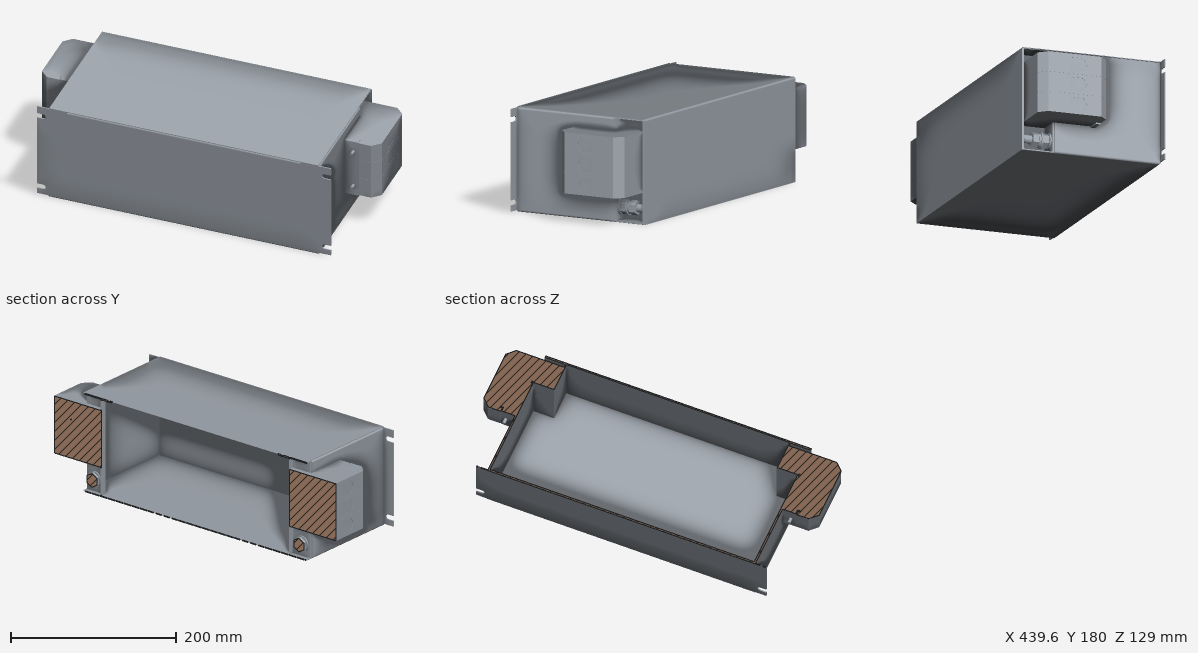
import cadquery as cq
import math


HOUSING_HEIGHT = 129.0
HOUSING_DEPTH = 180.0
CHASSIS_LENGTH = 350.4
COVER_LENGTH = 348.0
SHEET = 1.5
COVER_SHEET = 1.0
BEND_RADIUS = 2.5
FRONT_WALL = 2 * SHEET
CHASSIS_TOP = HOUSING_HEIGHT - COVER_SHEET
CHASSIS_END = CHASSIS_LENGTH / 2
REAR_END = COVER_LENGTH / 2

FLANGE_CLEARANCE = 0.1
FLANGE_GAP = 0.3
END_FLANGE_WIDTH = 46.0
FRONT_TONGUE_LENGTH = 302.0
FRONT_TONGUE_DEPTH = 12.5
FRONT_TONGUE_CHAMFER = 4.0

RECESS_FLOOR_Y = 140.0
RECESS_DEPTH = 28.0
RECESS_WALL_X = CHASSIS_END - RECESS_DEPTH
RECESS_REAR_WALL = 3.0
RECESS_ROOF = 2.0
RECESS_BACK_Y = HOUSING_DEPTH - RECESS_REAR_WALL

PLATE_LENGTH = 380.0
PLATE_BOTTOM = BEND_RADIUS
SLOT_WIDTH = 6.5
SLOT_LENGTH = 11.5
SLOT_SPACING = 102.0

MODULE_HEIGHT = 25.0
MODULE_COUNT = 3
BLOCK_TIP_X = 219.6
BLOCK_FRONT_Y = 84.8
BLOCK_BACK_Y = 173.6
BLOCK_BOTTOM = 38.0
BLOCK_HEIGHT = MODULE_COUNT * MODULE_HEIGHT
BLOCK_TOP = BLOCK_BOTTOM + BLOCK_HEIGHT
BLOCK_CHAMFER = 10.0
SEAM_WIDTH = 0.1
SEAM_DEPTH = 0.2

FOOT_END_X = 192.6
FOOT_THICKNESS = 6.5
FOOT_DROP = 1.6
FOOT_SETBACK = 0.8
SLIT_WIDTH = 0.4
SLIT_HOOK_LENGTH = 4.0
SCREW_DIAMETER = 4.0
SCREW_LENGTH = 6.0
SCREW_X = 186.4
SCREW_SPACING = 49.0

ARROW_BACK_Y = 134.6
ARROW_SHOULDER_Y = 118.0
ARROW_POINT_Y = 113.0
ARROW_HEIGHT = 16.4
ARROW_DEPTH = 0.3

PIN_DIAMETER = 1.0
PIN_PROJECTION = 0.4

STUD_X = RECESS_WALL_X + RECESS_DEPTH / 2
STUD_Z = 17.7
STUD_DIAMETER = 10.0
NUT_ACROSS_FLATS = 16.0
NUT_ACROSS_CORNERS = NUT_ACROSS_FLATS / math.cos(math.pi / 6)
NUT_HEIGHT = 8.4
WASHER_DIAMETER = 20.0
WASHER_THICKNESS = 2.0
SPRING_WASHER_DIAMETER = 17.0
SPRING_WASHER_THICKNESS = 2.5


def box(x_range, y_range, z_range):
    """Box between the given limits along each axis."""
    (x0, x1), (y0, y1), (z0, z1) = x_range, y_range, z_range
    return cq.Workplane("XY").box(x1 - x0, y1 - y0, z1 - z0, centered=False).translate((x0, y0, z0))


def centred_box(length, y_range, z_range):
    """Box centred on X = 0."""
    return box((-length / 2, length / 2), y_range, z_range)


def rod_along_y(diameter, x, z, y_range):
    """Cylinder running in +Y between two Y values."""
    y0, y1 = y_range
    return cq.Workplane("XZ", origin=(x, y0, z)).circle(diameter / 2).extrude(y0 - y1)


def both_ends(part):
    """The part together with its mirror image at the other end."""
    return part.union(part.mirror("YZ"))


def make_chassis():
    """Outer form of the chassis, rounded where the sheet is bent and narrower behind the end panels."""
    chassis = centred_box(CHASSIS_LENGTH, (0, HOUSING_DEPTH), (0, CHASSIS_TOP))
    chassis = chassis.edges("|Y or (|X and <Y and <Z)").fillet(BEND_RADIUS)
    beside_rear = box(
        (REAR_END, CHASSIS_END),
        (RECESS_FLOOR_Y - BEND_RADIUS, HOUSING_DEPTH),
        (0, CHASSIS_TOP),
    )
    return chassis.cut(both_ends(beside_rear)).union(make_mounting_plate())


def make_mounting_plate():
    """Front plate whose ears carry the open-ended slots."""
    plate = centred_box(PLATE_LENGTH, (0, SHEET), (PLATE_BOTTOM, CHASSIS_TOP))
    slot_centre_x = PLATE_LENGTH / 2 - SLOT_LENGTH + SLOT_WIDTH / 2
    plate_middle = CHASSIS_TOP / 2
    for level in (-1, 1):
        slot_z = plate_middle + level * SLOT_SPACING / 2
        rounded_end = rod_along_y(SLOT_WIDTH, slot_centre_x, slot_z, (0, SHEET))
        slot_z_range = (slot_z - SLOT_WIDTH / 2, slot_z + SLOT_WIDTH / 2)
        mouth = box((slot_centre_x, PLATE_LENGTH / 2), (0, SHEET), slot_z_range)
        plate = plate.cut(both_ends(rounded_end.union(mouth)))
    return plate


def make_tongue_bend():
    """Material outside the bend where the front plate turns in under the cover."""
    corner = (CHASSIS_TOP - BEND_RADIUS, CHASSIS_TOP)
    waste = centred_box(FRONT_TONGUE_LENGTH, (0, BEND_RADIUS), corner)
    bend = cq.Workplane("YZ", origin=(-FRONT_TONGUE_LENGTH / 2, BEND_RADIUS, CHASSIS_TOP - BEND_RADIUS))
    return waste.cut(bend.circle(BEND_RADIUS).extrude(FRONT_TONGUE_LENGTH))


def make_cover():
    """Flat sheet over the top of the chassis."""
    return centred_box(COVER_LENGTH, (0, HOUSING_DEPTH), (CHASSIS_TOP, HOUSING_HEIGHT))


def make_recess():
    """Terminal space cut out of the rear +X corner."""
    return box(
        (RECESS_WALL_X, CHASSIS_END),
        (RECESS_FLOOR_Y, RECESS_BACK_Y),
        (SHEET, HOUSING_HEIGHT - RECESS_ROOF),
    )


def make_tongue(z_range, margin):
    """Front tongue with chamfered corners, enlarged all round by a margin."""
    tongue = centred_box(FRONT_TONGUE_LENGTH + 2 * margin, (0, FRONT_TONGUE_DEPTH + margin), z_range)
    return tongue.edges("|Z and >Y").chamfer(FRONT_TONGUE_CHAMFER)


def make_cavity():
    """Interior of the housing, leaving the recess walls and the flanges below the cover."""
    inner_length = COVER_LENGTH - 2 * SHEET
    inner_y = (FRONT_WALL, HOUSING_DEPTH - BEND_RADIUS)
    cavity = centred_box(inner_length, inner_y, (SHEET, CHASSIS_TOP))
    recess_walls = box(
        (RECESS_WALL_X - SHEET, CHASSIS_END),
        (RECESS_FLOOR_Y - SHEET, HOUSING_DEPTH),
        (0, HOUSING_HEIGHT),
    )
    flange_top = CHASSIS_TOP - FLANGE_CLEARANCE
    flange_z = (flange_top - SHEET, flange_top)
    end_flange = box((CHASSIS_END - END_FLANGE_WIDTH, CHASSIS_END), (0, HOUSING_DEPTH), flange_z)
    end_flange = end_flange.cut(make_tongue(flange_z, FLANGE_GAP))
    tongue = make_tongue(flange_z, 0)
    return cavity.cut(both_ends(recess_walls.union(end_flange))).cut(tongue)


def make_housing():
    """Hollow chassis closed by the cover, rounded along the top rear edge and recessed at each end."""
    housing = make_chassis().cut(make_tongue_bend()).union(make_cover())
    housing = housing.edges("|X and >Y and >Z").fillet(BEND_RADIUS)
    return housing.cut(both_ends(make_recess())).cut(make_cavity())


def block_profile(z):
    """Plan outline of the +X terminal block at a given height, as a closed wire."""
    shoulder_x = BLOCK_TIP_X - BLOCK_CHAMFER
    outline = [
        (RECESS_WALL_X, BLOCK_BACK_Y),
        (shoulder_x, BLOCK_BACK_Y),
        (BLOCK_TIP_X, BLOCK_BACK_Y - BLOCK_CHAMFER),
        (BLOCK_TIP_X, BLOCK_FRONT_Y + BLOCK_CHAMFER),
        (shoulder_x, BLOCK_FRONT_Y),
        (FOOT_END_X, BLOCK_FRONT_Y),
        (FOOT_END_X, BLOCK_FRONT_Y + FOOT_SETBACK),
        (CHASSIS_END, BLOCK_FRONT_Y + FOOT_SETBACK),
        (CHASSIS_END, RECESS_FLOOR_Y),
        (RECESS_WALL_X, RECESS_FLOOR_Y),
    ]
    return cq.Workplane("XY", origin=(0, 0, z)).polyline(outline).close()


def make_seam(z):
    """Fine groove round the outside of the +X block where two modules meet."""
    bottom = z - SEAM_WIDTH / 2
    ring = block_profile(bottom).extrude(SEAM_WIDTH)
    core = block_profile(bottom).offset2D(-SEAM_DEPTH).extrude(SEAM_WIDTH)
    beyond_foot = box((FOOT_END_X, BLOCK_TIP_X), (BLOCK_FRONT_Y, BLOCK_BACK_Y), (bottom, z + SEAM_WIDTH))
    return ring.cut(core).intersect(beyond_foot)


def module_middle(index):
    """Height of the middle of a terminal module, counted from the lowest."""
    return BLOCK_BOTTOM + (index + 0.5) * MODULE_HEIGHT


def make_wire_entry(index):
    """Shallow arrow-shaped pocket in the tip of one module of the +X block."""
    half = ARROW_HEIGHT / 2
    arrow = [
        (ARROW_BACK_Y, half),
        (ARROW_BACK_Y, -half),
        (ARROW_SHOULDER_Y, -half),
        (ARROW_POINT_Y, 0),
        (ARROW_SHOULDER_Y, half),
    ]
    tip_plane = cq.Workplane("YZ", origin=(BLOCK_TIP_X, 0, module_middle(index)))
    return tip_plane.polyline(arrow).close().extrude(-ARROW_DEPTH)


def make_slit():
    """Hooked slit, full block height, between the foot and the modules."""
    block_z = (BLOCK_BOTTOM, BLOCK_TOP)
    slit_back_y = BLOCK_FRONT_Y + FOOT_THICKNESS
    slit = box((FOOT_END_X, FOOT_END_X + SLIT_WIDTH), (BLOCK_FRONT_Y, slit_back_y), block_z)
    hook = box((FOOT_END_X, FOOT_END_X + SLIT_HOOK_LENGTH), (slit_back_y - SLIT_WIDTH, slit_back_y), block_z)
    return slit.union(hook)


def make_block():
    """Terminal block at the +X end: stacked modules, fixing foot and screws."""
    block = block_profile(BLOCK_BOTTOM).extrude(BLOCK_HEIGHT)
    foot_front_y = BLOCK_FRONT_Y + FOOT_SETBACK
    foot_bottom = BLOCK_BOTTOM - FOOT_DROP
    foot_y = (foot_front_y, BLOCK_FRONT_Y + FOOT_THICKNESS)
    foot = box((CHASSIS_END, FOOT_END_X), foot_y, (foot_bottom, BLOCK_TOP))
    block = block.union(foot).cut(make_slit())
    for index in range(MODULE_COUNT):
        block = block.cut(make_wire_entry(index))
    for index in range(1, MODULE_COUNT):
        block = block.cut(make_seam(BLOCK_BOTTOM + index * MODULE_HEIGHT))
    foot_middle = (foot_bottom + BLOCK_TOP) / 2
    for level in (-1, 1):
        screw_z = foot_middle + level * SCREW_SPACING / 2
        screw_y = (BLOCK_FRONT_Y - SCREW_LENGTH, foot_front_y)
        block = block.union(rod_along_y(SCREW_DIAMETER, SCREW_X, screw_z, screw_y))
    return block


def make_pin():
    """Pin standing out of the lowest module at the +X end, rooted below the arrow pocket."""
    plane = cq.Workplane("YZ", origin=(BLOCK_TIP_X - ARROW_DEPTH, ARROW_POINT_Y, module_middle(0)))
    return plane.circle(PIN_DIAMETER / 2).extrude(ARROW_DEPTH + PIN_PROJECTION)


def make_nut(y):
    """Hexagon nut on the +X stud, starting at the given Y, with two corners up and down."""
    plane = cq.Workplane("XZ", origin=(STUD_X, y, STUD_Z)).transformed(rotate=(0, 0, 90))
    return plane.polygon(6, NUT_ACROSS_CORNERS).extrude(-NUT_HEIGHT)


def make_earth_stud():
    """Stud across the +X recess with two nuts clamping a washer and a spring washer."""
    inner_nut_y = RECESS_FLOOR_Y + WASHER_THICKNESS
    clamp_washer_y = inner_nut_y + NUT_HEIGHT
    spring_washer_y = clamp_washer_y + WASHER_THICKNESS
    outer_nut_y = spring_washer_y + SPRING_WASHER_THICKNESS
    rods = [
        (WASHER_DIAMETER, RECESS_FLOOR_Y, inner_nut_y),
        (WASHER_DIAMETER, clamp_washer_y, spring_washer_y),
        (SPRING_WASHER_DIAMETER, spring_washer_y, outer_nut_y),
    ]
    stud = rod_along_y(STUD_DIAMETER, STUD_X, STUD_Z, (RECESS_FLOOR_Y, RECESS_BACK_Y))
    for diameter, start_y, end_y in rods:
        stud = stud.union(rod_along_y(diameter, STUD_X, STUD_Z, (start_y, end_y)))
    return stud.union(make_nut(inner_nut_y)).union(make_nut(outer_nut_y))


result = make_housing()
result = result.union(both_ends(make_block()))
result = result.union(both_ends(make_earth_stud()))
result = result.union(make_pin())